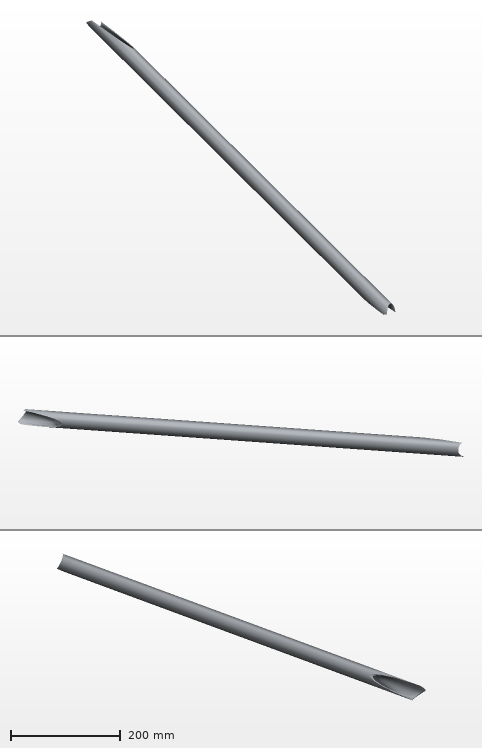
import cadquery as cq

TUBE_DIAMETER = 30.0
WALL_THICKNESS = 1.5
TUBE_RADIUS = TUBE_DIAMETER / 2
BORE_RADIUS = TUBE_RADIUS - WALL_THICKNESS

UPPER_NODE = cq.Vector(-397.3, 108.6, 106.1)
LOWER_NODE = cq.Vector(395.8, -109.3, -106.0)

UPPER_CHORD = cq.Vector(1, -0.115, -0.025)
UPPER_CROSS_TUBE = cq.Vector(0.014, -0.156, 1)
LOWER_CHORD = cq.Vector(1, -0.156, 0.112)
LOWER_CROSS_TUBE = cq.Vector(0.516, 0.610, 1)

UPPER_OVERRUN = 4.0
LOWER_OVERRUN = 4.0
NEIGHBOUR_LENGTH = 500.0


def uncut_brace():
    """Straight tube through both nodes, square at its ends."""
    span = LOWER_NODE - UPPER_NODE
    axis = span.normalized()
    start = UPPER_NODE - axis * UPPER_OVERRUN
    length = UPPER_OVERRUN + span.Length + LOWER_OVERRUN
    horizontal_normal = (axis.y, -axis.x, 0)
    section = cq.Plane(origin=start.toTuple(), xDir=horizontal_normal, normal=axis.toTuple())
    return cq.Workplane(section).circle(TUBE_RADIUS).circle(BORE_RADIUS).extrude(length).val()


def neighbour(node, direction):
    """Solid envelope of a neighbouring tube, centred on its node."""
    along = direction.normalized()
    start = node - along * (NEIGHBOUR_LENGTH / 2)
    return cq.Solid.makeCylinder(TUBE_RADIUS, NEIGHBOUR_LENGTH, start, along)


def coped_brace():
    """The brace cut by its neighbours, without the scraps left beyond the nodes."""
    neighbours = [
        neighbour(UPPER_NODE, UPPER_CHORD),
        neighbour(UPPER_NODE, UPPER_CROSS_TUBE),
        neighbour(LOWER_NODE, LOWER_CHORD),
        neighbour(LOWER_NODE, LOWER_CROSS_TUBE),
    ]
    pieces = uncut_brace().cut(*neighbours).Solids()
    return max(pieces, key=lambda piece: piece.Volume())


result = cq.Workplane(coped_brace())